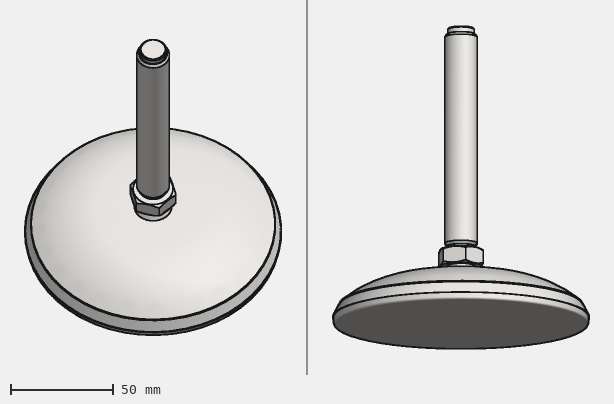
import cadquery as cq
import math

SKIRT_DIAMETER = 124.1
RIM_DIAMETER = 125.0
SHOULDER_DIAMETER = 119.1
RIM_Z = 3.4
SHOULDER_Z = 9.1
BOTTOM_FILLET = 1.0

DOME_DIAMETER = 118.5
DOME_EDGE_HEIGHT = 0.6
CROWN_DIAMETER = 40.0
CROWN_Z = 23.5

SPINDLE_TOP_Z = 146.7
COLLAR_BASE_DIAMETER = 18.3
COLLAR_TOP_DIAMETER = 14.0
COLLAR_TOP_Z = 26.7
HEX_BOTTOM_Z = 28.8
HEX_TOP_Z = 37.0
HEX_ACROSS_FLATS = 20.0
HEX_FACE_DIAMETER = 19.4
HEX_CHAMFER_ANGLE = 30.0
NECK_DIAMETER = 13.0
THREAD_DIAMETER = 16.0
THREAD_END_DIAMETER = 13.8
THREAD_CHAMFER_HEIGHT = 1.5
THREAD_BOTTOM_Z = 38.6
THREAD_TOP_Z = 143.8
TIP_CHAMFER = 0.6


def revolve_profile(profile):
    """Close a radius/height profile and turn it around the Z axis."""
    return profile.close().revolve(360, (0, 0, 0), (0, 1, 0))


def make_base():
    """Disc with an upright skirt, a conical rim and a rounded bottom edge."""
    base = revolve_profile(
        cq.Workplane("XZ")
        .lineTo(SKIRT_DIAMETER / 2, 0)
        .lineTo(SKIRT_DIAMETER / 2, RIM_Z)
        .lineTo(RIM_DIAMETER / 2, RIM_Z)
        .lineTo(SHOULDER_DIAMETER / 2, SHOULDER_Z)
        .lineTo(0, SHOULDER_Z)
    )
    return base.faces("<Z").edges().fillet(BOTTOM_FILLET)


def make_dome():
    """Dome whose curved surface runs tangentially into the flat crown."""
    edge_r = DOME_DIAMETER / 2
    crown_r = CROWN_DIAMETER / 2
    edge_z = SHOULDER_Z + DOME_EDGE_HEIGHT
    run = edge_r - crown_r
    rise = CROWN_Z - edge_z
    arc_radius = (run**2 + rise**2) / (2 * rise)
    half_sweep = math.asin(run / arc_radius) / 2
    arc_middle = (
        crown_r + arc_radius * math.sin(half_sweep),
        CROWN_Z - arc_radius * (1 - math.cos(half_sweep)),
    )
    return revolve_profile(
        cq.Workplane("XZ")
        .moveTo(0, SHOULDER_Z)
        .lineTo(edge_r, SHOULDER_Z)
        .lineTo(edge_r, edge_z)
        .threePointArc(arc_middle, (crown_r, CROWN_Z))
        .lineTo(0, CROWN_Z)
    )


def make_collar():
    """Flared foot of the spindle, standing on the crown."""
    return revolve_profile(
        cq.Workplane("XZ")
        .moveTo(0, CROWN_Z)
        .lineTo(COLLAR_BASE_DIAMETER / 2, CROWN_Z)
        .lineTo(COLLAR_TOP_DIAMETER / 2, COLLAR_TOP_Z)
        .lineTo(COLLAR_TOP_DIAMETER / 2, HEX_BOTTOM_Z)
        .lineTo(0, HEX_BOTTOM_Z)
    )


def make_hexagon():
    """Hexagon with corners on the X axis, chamfered at both ends."""
    corner_diameter = HEX_ACROSS_FLATS / math.cos(math.pi / 6)
    prism = (
        cq.Workplane("XY", origin=(0, 0, HEX_BOTTOM_Z))
        .polygon(6, corner_diameter)
        .extrude(HEX_TOP_Z - HEX_BOTTOM_Z)
    )
    corner_r = corner_diameter / 2
    face_r = HEX_FACE_DIAMETER / 2
    drop = (corner_r - face_r) * math.tan(math.radians(HEX_CHAMFER_ANGLE))
    envelope = revolve_profile(
        cq.Workplane("XZ")
        .moveTo(0, HEX_BOTTOM_Z)
        .lineTo(face_r, HEX_BOTTOM_Z)
        .lineTo(corner_r, HEX_BOTTOM_Z + drop)
        .lineTo(corner_r, HEX_TOP_Z - drop)
        .lineTo(face_r, HEX_TOP_Z)
        .lineTo(0, HEX_TOP_Z)
    )
    return prism.intersect(envelope)


def make_shank():
    """Thread, modelled smooth, between a lower neck and a chamfered tip, tapered at both ends."""
    neck_r = NECK_DIAMETER / 2
    thread_r = THREAD_DIAMETER / 2
    thread_end_r = THREAD_END_DIAMETER / 2
    return revolve_profile(
        cq.Workplane("XZ")
        .moveTo(0, HEX_TOP_Z)
        .lineTo(neck_r, HEX_TOP_Z)
        .lineTo(neck_r, THREAD_BOTTOM_Z)
        .lineTo(thread_end_r, THREAD_BOTTOM_Z)
        .lineTo(thread_r, THREAD_BOTTOM_Z + THREAD_CHAMFER_HEIGHT)
        .lineTo(thread_r, THREAD_TOP_Z - THREAD_CHAMFER_HEIGHT)
        .lineTo(thread_end_r, THREAD_TOP_Z)
        .lineTo(neck_r, THREAD_TOP_Z)
        .lineTo(neck_r, SPINDLE_TOP_Z - TIP_CHAMFER)
        .lineTo(neck_r - TIP_CHAMFER, SPINDLE_TOP_Z)
        .lineTo(0, SPINDLE_TOP_Z)
    )


def make_spindle():
    return make_collar().union(make_hexagon()).union(make_shank())


base = make_base()
dome = make_dome()
spindle = make_spindle()

result = cq.Compound.makeCompound([base.val(), dome.val(), spindle.val()])